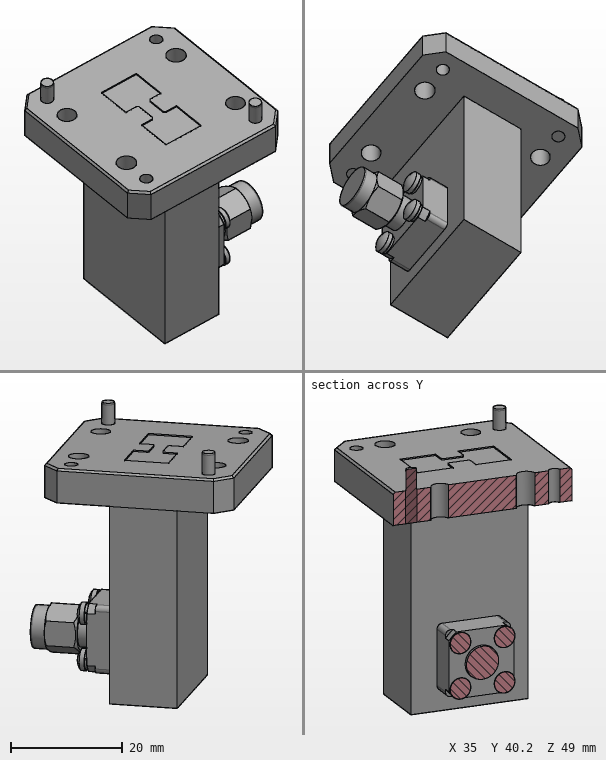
import cadquery as cq
import math


TOTAL_HEIGHT = 49.0
TOTAL_DEPTH = 40.25
PIN_PROTRUSION = 4.0
FLANGE_THICKNESS = 6.35
FLANGE_TOP = TOTAL_HEIGHT - PIN_PROTRUSION
FLANGE_BOTTOM = FLANGE_TOP - FLANGE_THICKNESS
FLANGE_SIDE = 35.0
FLANGE_CORNER = 3.0
FLANGE_EDGE_CHAMFER = 0.4
BLOCK_X = 22.9
BLOCK_Y = 12.55

HOLE_ROW_Y = 12.7
PIN_X = 13.95
PIN_DIAMETER = 2.35
PIN_TIP_HEIGHT = 0.3
PIN_TIP_INSET = 0.05
BOLT_X = 8.4
WIDE_BOLT_DIAMETER = 3.68
NARROW_BOLT_DIAMETER = 3.55

GUIDE_X = 18.3
GUIDE_Y = 8.15
GUIDE_DEPTH = 0.25
RIDGE_WIDTH = 4.4
RIDGE_GAP = 2.5
RIDGE_FILLET = 0.45

AXIS_HEIGHT = 10.25
CONNECTOR_LENGTH = TOTAL_DEPTH - (FLANGE_SIDE + BLOCK_Y) / 2
BASE_SIDE = 12.7
BASE_LENGTH = 5.45
BASE_FILLET = 1.0
PLATE_THICKNESS = 1.55
PLATE_DIAMETER = 15.95
NECK_DIAMETER = 6.35
NUT_START = 7.9
NUT_END = 13.85
NUT_FLATS = 8.0
NUT_CORNERS = NUT_FLATS / math.cos(math.pi / 6)
NUT_BACK_FACE_DIAMETER = 7.45
SLEEVE_DIAMETER = 7.95
SLEEVE_TIP_LENGTH = 0.25
SLEEVE_TIP_INSET = 0.05

SCREW_OFFSET = 4.3
WASHER_DIAMETER = 3.55
WASHER_THICKNESS = 0.5
WASHER_SPLIT = 0.2
WASHER_SPLIT_HEIGHT = 0.55
SHANK_DIAMETER = 1.95
HEAD_DIAMETER = 4.05
HEAD_RIM = 0.9
HEAD_DOME = 0.8


def waveguide_opening():
    """Waveguide opening: a rectangle narrowed by a rounded ridge from each long side."""
    opening = cq.Workplane("XY").rect(GUIDE_X, GUIDE_Y).extrude(GUIDE_DEPTH)
    ridge_height = (GUIDE_Y - RIDGE_GAP) / 2
    for side in (-1, 1):
        ridge = (
            cq.Workplane("XY")
            .center(0, side * (RIDGE_GAP + ridge_height) / 2)
            .rect(RIDGE_WIDTH, ridge_height)
            .extrude(GUIDE_DEPTH)
            .faces("<Y" if side > 0 else ">Y")
            .edges("|Z")
            .fillet(RIDGE_FILLET)
        )
        opening = opening.cut(ridge)
    return opening


def flange_holes(diameter, points):
    """Straight cylinders through the flange thickness."""
    return (
        cq.Workplane("XY", origin=(0, 0, FLANGE_BOTTOM))
        .pushPoints(points)
        .circle(diameter / 2)
        .extrude(FLANGE_THICKNESS)
    )


def make_housing():
    """Block and flange as one piece, with bolt and pin holes and a shallow waveguide opening."""
    block = cq.Workplane("XY").rect(BLOCK_X, BLOCK_Y).extrude(FLANGE_BOTTOM)
    flange = (
        cq.Workplane("XY", origin=(0, 0, FLANGE_BOTTOM))
        .rect(FLANGE_SIDE, FLANGE_SIDE)
        .extrude(FLANGE_THICKNESS)
        .edges("|Z")
        .chamfer(FLANGE_CORNER)
        .faces(">Z")
        .edges()
        .chamfer(FLANGE_EDGE_CHAMFER)
    )
    pin_points = [(x, y) for x in (-PIN_X, PIN_X) for y in (-HOLE_ROW_Y, HOLE_ROW_Y)]
    wide_points = [(-BOLT_X, HOLE_ROW_Y), (BOLT_X, -HOLE_ROW_Y)]
    narrow_points = [(-BOLT_X, -HOLE_ROW_Y), (BOLT_X, HOLE_ROW_Y)]
    return (
        block.union(flange)
        .cut(flange_holes(PIN_DIAMETER, pin_points))
        .cut(flange_holes(WIDE_BOLT_DIAMETER, wide_points))
        .cut(flange_holes(NARROW_BOLT_DIAMETER, narrow_points))
        .cut(waveguide_opening().translate((0, 0, FLANGE_TOP - GUIDE_DEPTH)))
    )


def make_pin(x, y):
    """Alignment pin filling its flange hole, with a slightly tapered tip."""
    return (
        cq.Workplane("XY", origin=(x, y, FLANGE_BOTTOM))
        .circle(PIN_DIAMETER / 2)
        .extrude(FLANGE_THICKNESS + PIN_PROTRUSION)
        .faces(">Z")
        .chamfer(PIN_TIP_HEIGHT, PIN_TIP_INSET)
    )


def axial_plane(distance):
    """Plane across the connector axis, with local X along -X and local Y along Z."""
    return cq.Workplane(
        cq.Plane(
            origin=(0, BLOCK_Y / 2 + distance, AXIS_HEIGHT),
            xDir=(-1, 0, 0),
            normal=(0, 1, 0),
        )
    )


def revolved(points):
    """Solid of revolution about the connector axis from (radius, distance) points."""
    return (
        cq.Workplane("XY", origin=(0, BLOCK_Y / 2, AXIS_HEIGHT))
        .polyline(points)
        .close()
        .revolve(360, (0, 0, 0), (0, 1, 0))
    )


def make_base():
    """Square base with rounded long edges, ending in a square plate turned to a circle at its corners."""
    body_length = BASE_LENGTH - PLATE_THICKNESS
    body = axial_plane(0).rect(BASE_SIDE, BASE_SIDE).extrude(body_length).edges("|Y").fillet(BASE_FILLET)
    disc = axial_plane(body_length).circle(PLATE_DIAMETER / 2).extrude(PLATE_THICKNESS)
    plate = axial_plane(body_length).rect(BASE_SIDE, BASE_SIDE).extrude(PLATE_THICKNESS).intersect(disc)
    return body.union(plate)


def make_nut():
    """Hexagon with corners up and down, both ends turned to a cone 30 degrees off the end face."""
    slope = math.tan(math.pi / 6)
    corner_radius = NUT_CORNERS / 2
    back_radius = NUT_BACK_FACE_DIAMETER / 2
    front_radius = SLEEVE_DIAMETER / 2
    turned = revolved(
        [
            (0, NUT_START),
            (back_radius, NUT_START),
            (corner_radius, NUT_START + (corner_radius - back_radius) * slope),
            (corner_radius, NUT_END - (corner_radius - front_radius) * slope),
            (front_radius, NUT_END),
            (0, NUT_END),
        ]
    )
    hexagon = (
        axial_plane(NUT_START)
        .transformed(rotate=(0, 0, 90))
        .polygon(6, NUT_CORNERS)
        .extrude(NUT_END - NUT_START)
    )
    return hexagon.intersect(turned)


def make_screw(x, z):
    """Screw shank, split washer and domed head on the outer end of the base."""
    head_radius = HEAD_DIAMETER / 2
    dome_radius = (head_radius**2 + HEAD_DOME**2) / (2 * HEAD_DOME)
    washer_end = BASE_LENGTH + WASHER_THICKNESS
    rim_end = washer_end + HEAD_RIM
    head = (
        cq.Workplane("XY", origin=(0, BLOCK_Y / 2, AXIS_HEIGHT))
        .moveTo(0, washer_end)
        .lineTo(head_radius, washer_end)
        .lineTo(head_radius, rim_end)
        .radiusArc((0, rim_end + HEAD_DOME), -dome_radius)
        .close()
        .revolve(360, (0, 0, 0), (0, 1, 0))
    )
    shank = axial_plane(BASE_LENGTH).circle(SHANK_DIAMETER / 2).extrude(WASHER_THICKNESS)
    split = (
        axial_plane(BASE_LENGTH)
        .center(WASHER_DIAMETER / 4, WASHER_SPLIT_HEIGHT)
        .rect(WASHER_DIAMETER / 2, WASHER_SPLIT)
        .extrude(WASHER_THICKNESS)
    )
    washer = axial_plane(BASE_LENGTH).circle(WASHER_DIAMETER / 2).extrude(WASHER_THICKNESS).cut(split)
    return washer.union(shank).union(head).translate((x, 0, z))


def make_connector():
    """Base, neck, nut, sleeve and four screws as one piece along the connector axis."""
    neck = axial_plane(BASE_LENGTH).circle(NECK_DIAMETER / 2).extrude(NUT_START - BASE_LENGTH)
    sleeve = (
        axial_plane(NUT_END)
        .circle(SLEEVE_DIAMETER / 2)
        .extrude(CONNECTOR_LENGTH - NUT_END)
        .faces(">Y")
        .chamfer(SLEEVE_TIP_LENGTH, SLEEVE_TIP_INSET)
    )
    connector = make_base().union(neck).union(make_nut()).union(sleeve)
    for x in (-SCREW_OFFSET, SCREW_OFFSET):
        for z in (-SCREW_OFFSET, SCREW_OFFSET):
            connector = connector.union(make_screw(x, z))
    return connector


housing = make_housing()
pins = [make_pin(side * PIN_X, side * HOLE_ROW_Y) for side in (-1, 1)]
connector = make_connector()

result = cq.Compound.makeCompound(
    [housing.solids().val(), *[pin.val() for pin in pins], connector.solids().val()]
)